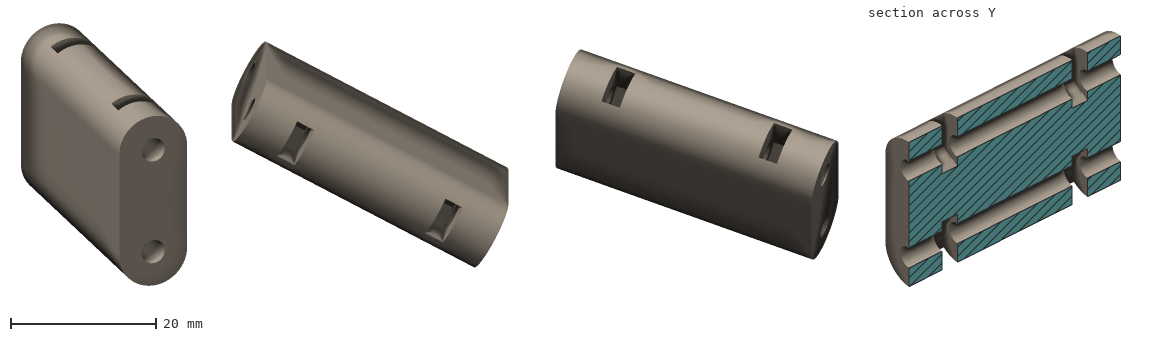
import cadquery as cq
import math

length = 38.0
thickness = 10.0
height = 25.0
hole_diameter = 3.42
nut_across_flats = 5.75
nut_slot_width = 2.75
nut_slot_end_gap = 5.95

nut_slot_offset = length / 2 - nut_slot_end_gap - nut_slot_width / 2
hole_offset = (height - thickness) / 2


def make_body():
    """Bar with an upright stadium section, centred on the origin."""
    return cq.Workplane("YZ").slot2D(height, thickness, 90).extrude(length / 2, both=True)


def make_holes():
    """Two lengthwise through holes."""
    centres = [(0, hole_offset), (0, -hole_offset)]
    return cq.Workplane("YZ").pushPoints(centres).circle(hole_diameter / 2).extrude(length / 2, both=True)


def make_nut_slot(x, side):
    """Hex nut slot around a hole, open at the top (side = 1) or bottom (side = -1)."""
    half_width = nut_across_flats / 2
    corner_radius = nut_across_flats / math.sqrt(3)
    shoulder = hole_offset - corner_radius / 2
    tip = hole_offset - corner_radius
    profile = [
        (-half_width, side * height / 2),
        (-half_width, side * shoulder),
        (0, side * tip),
        (half_width, side * shoulder),
        (half_width, side * height / 2),
    ]
    cutter = cq.Workplane("YZ").polyline(profile).close().extrude(nut_slot_width / 2, both=True)
    return cutter.translate((x, 0, 0))


result = make_body().cut(make_holes())
for x in (-nut_slot_offset, nut_slot_offset):
    for side in (-1, 1):
        result = result.cut(make_nut_slot(x, side))